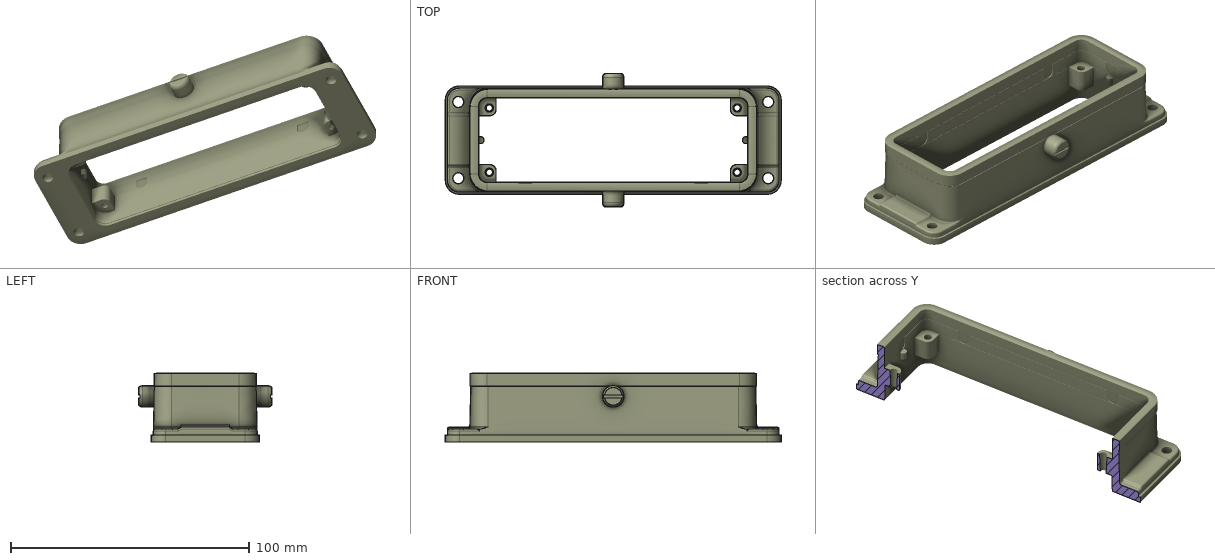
import cadquery as cq
import math

PLATE_LENGTH = 141.0
PLATE_WIDTH = 45.5
PLATE_THICKNESS = 3.0
PLATE_CORNER_RADIUS = 6.0

FLANGE_INSET = 0.9
EAR_HEIGHT = 5.5
PAD_HEIGHT = 6.3
PAD_HALF_WIDTH = 10.2
FLANGE_FILLET = 0.8
MOUNT_HOLE_DIAMETER = 4.5
MOUNT_HOLE_X = 65.0
MOUNT_HOLE_Y = 16.0

DRAFT_ANGLE = 1.4
FRAME_LENGTH = 120.6
FRAME_WIDTH = PLATE_WIDTH - 2 * FLANGE_INSET
FRAME_CORNER_RADIUS = 7.7

RIM_LENGTH = 120.2
RIM_WIDTH = 42.8
RIM_CORNER_RADIUS = 7.2
RIM_THICKNESS = 3.6
RIM_BOTTOM = 23.3
RIM_CHAMFER = 0.35
RIM_EDGE_HEIGHT = 28.75
RIM_CROWN_HEIGHT = 28.98

OPENING_LENGTH = RIM_LENGTH - 2 * RIM_THICKNESS
OPENING_WIDTH = RIM_WIDTH - 2 * RIM_THICKNESS
OPENING_CORNER_RADIUS = RIM_CORNER_RADIUS - RIM_THICKNESS
UPPER_STEP = 0.1
WALL_STEP = 0.2
LOWER_CORNER_RADIUS = 5.0
LEDGE_HEIGHT = 17.6
BOTTOM_RELIEF_HEIGHT = 1.3

RECESS_WIDTH = 5.2
RECESS_DEPTH = 0.2
RECESS_BOTTOM = LEDGE_HEIGHT
RECESS_X = 37.0

BOSS_X = 52.0
BOSS_Y = 13.5
BOSS_REACH_X = 2.9
BOSS_REACH_Y = 3.35
BOSS_CORNER_RADIUS = 2.85
BOSS_BOTTOM = 8.4
BOSS_TOP = LEDGE_HEIGHT
SCREW_HOLE_TOP_DIAMETER = 3.5
SCREW_HOLE_BOTTOM_DIAMETER = 2.6

KEY_X = 55.7
KEY_RADIUS = 1.5
KEY_BOTTOM = 14.2
KEY_TOP = LEDGE_HEIGHT

PEG_SPAN = 55.92
PEG_RADIUS = 4.5
PEG_HEIGHT = 19.2
PEG_ROUND_LENGTH = 1.7
PEG_ROUND_INSET = 0.8
PEG_ROUND_RADIUS = (PEG_ROUND_LENGTH**2 + PEG_ROUND_INSET**2) / (2 * PEG_ROUND_INSET)
PEG_SLOT_WIDTH = 1.2
PEG_SLOT_DEPTH = 0.5

SIGNS = (-1, 1)


def rounded_block(length, width, radius, bottom, top, draft=0.0):
    """Upright block with rounded corners; draft leans its sides inwards."""
    outline = cq.Sketch().rect(length, width).vertices().fillet(radius)
    return cq.Workplane("XY").workplane(offset=bottom).placeSketch(outline).extrude(top - bottom, taper=draft)


def rounded_path(length, width, radius, height):
    """Closed rounded-rectangle path that starts at the middle of its +X side."""
    x, y = length / 2, width / 2
    corner = radius * (1 - math.sqrt(0.5))
    return (
        cq.Workplane("XY", origin=(0, 0, height))
        .moveTo(x, 0)
        .lineTo(x, y - radius)
        .threePointArc((x - corner, y - corner), (x - radius, y))
        .lineTo(radius - x, y)
        .threePointArc((corner - x, y - corner), (-x, y - radius))
        .lineTo(-x, radius - y)
        .threePointArc((corner - x, corner - y), (radius - x, -y))
        .lineTo(x - radius, -y)
        .threePointArc((x - corner, corner - y), (x, radius - y))
        .close()
    )


def make_plate():
    return rounded_block(PLATE_LENGTH, PLATE_WIDTH, PLATE_CORNER_RADIUS, 0, PLATE_THICKNESS)


def flange_envelope(top):
    return rounded_block(
        PLATE_LENGTH - 2 * FLANGE_INSET,
        FRAME_WIDTH,
        PLATE_CORNER_RADIUS - FLANGE_INSET,
        PLATE_THICKNESS,
        top,
        DRAFT_ANGLE,
    )


def make_flange():
    """Ears and pad, joined by an S-shaped step and rounded along the outer edge."""
    step = PAD_HEIGHT - EAR_HEIGHT
    mid_height = (PAD_HEIGHT + EAR_HEIGHT) / 2
    half_run = math.sqrt(FLANGE_FILLET**2 - (FLANGE_FILLET - step / 2) ** 2)
    half_turn = math.acos(1 - step / (2 * FLANGE_FILLET)) / 2
    arc_run = FLANGE_FILLET * math.sin(half_turn)
    arc_drop = FLANGE_FILLET * (1 - math.cos(half_turn))
    foot = PAD_HALF_WIDTH + 2 * half_run
    middle = PAD_HALF_WIDTH + half_run
    profile = (
        cq.Workplane("YZ", origin=(-PLATE_LENGTH / 2, 0, 0))
        .moveTo(-PLATE_WIDTH, 0)
        .lineTo(-PLATE_WIDTH, EAR_HEIGHT)
        .lineTo(-foot, EAR_HEIGHT)
        .threePointArc((-foot + arc_run, EAR_HEIGHT + arc_drop), (-middle, mid_height))
        .threePointArc((-PAD_HALF_WIDTH - arc_run, PAD_HEIGHT - arc_drop), (-PAD_HALF_WIDTH, PAD_HEIGHT))
        .lineTo(PAD_HALF_WIDTH, PAD_HEIGHT)
        .threePointArc((PAD_HALF_WIDTH + arc_run, PAD_HEIGHT - arc_drop), (middle, mid_height))
        .threePointArc((foot - arc_run, EAR_HEIGHT + arc_drop), (foot, EAR_HEIGHT))
        .lineTo(PLATE_WIDTH, EAR_HEIGHT)
        .lineTo(PLATE_WIDTH, 0)
        .close()
        .extrude(PLATE_LENGTH)
    )
    flange = flange_envelope(PAD_HEIGHT + 1).intersect(profile)
    return flange.faces("<X or >X").edges(">Z").fillet(FLANGE_FILLET)


def make_frame():
    return rounded_block(
        FRAME_LENGTH, FRAME_WIDTH, FRAME_CORNER_RADIUS, PLATE_THICKNESS, RIM_BOTTOM, DRAFT_ANGLE
    )


def make_root_fillet(height):
    """Concave fillet between the frame wall and a flange surface at this height."""
    lean = (height - PLATE_THICKNESS) * math.tan(math.radians(DRAFT_ANGLE))
    wall = FRAME_LENGTH / 2 - lean
    buried = FLANGE_FILLET
    bend = FLANGE_FILLET * (1 - math.sqrt(0.5))
    path = rounded_path(2 * wall, FRAME_WIDTH - 2 * lean, FRAME_CORNER_RADIUS - lean, height)
    return (
        cq.Workplane("XZ")
        .moveTo(wall - buried, height - buried)
        .lineTo(wall + FLANGE_FILLET, height - buried)
        .lineTo(wall + FLANGE_FILLET, height)
        .threePointArc((wall + bend, height + bend), (wall, height + FLANGE_FILLET))
        .lineTo(wall - buried, height + FLANGE_FILLET)
        .close()
        .sweep(path)
    )


def make_root_fillets():
    pad_zone = cq.Workplane("XY").box(PLATE_LENGTH, 2 * PAD_HALF_WIDTH, 2 * RIM_BOTTOM)
    ear_fillet = make_root_fillet(EAR_HEIGHT)
    pad_fillet = make_root_fillet(PAD_HEIGHT).intersect(pad_zone)
    return ear_fillet.union(pad_fillet).intersect(flange_envelope(RIM_BOTTOM))


def make_rim():
    outer = RIM_LENGTH / 2
    path = rounded_path(RIM_LENGTH, RIM_WIDTH, RIM_CORNER_RADIUS, RIM_BOTTOM)
    return (
        cq.Workplane("XZ")
        .moveTo(outer - RIM_CHAMFER, RIM_BOTTOM)
        .lineTo(outer, RIM_BOTTOM + RIM_CHAMFER)
        .lineTo(outer, RIM_EDGE_HEIGHT)
        .threePointArc(
            (outer - RIM_THICKNESS / 2, RIM_CROWN_HEIGHT), (outer - RIM_THICKNESS, RIM_EDGE_HEIGHT)
        )
        .lineTo(outer - RIM_THICKNESS, RIM_BOTTOM)
        .close()
        .sweep(path)
    )


def opening(step, radius, bottom, top):
    """Stretch of the opening, set in from the rim's inner face by the step."""
    return rounded_block(OPENING_LENGTH - 2 * step, OPENING_WIDTH - 2 * step, radius, bottom, top)


def make_opening():
    relief = opening(0, LOWER_CORNER_RADIUS, 0, BOTTOM_RELIEF_HEIGHT)
    lower = opening(WALL_STEP, LOWER_CORNER_RADIUS, 0, LEDGE_HEIGHT)
    upper = opening(UPPER_STEP, OPENING_CORNER_RADIUS, LEDGE_HEIGHT, RIM_BOTTOM)
    return relief.union(lower).union(upper)


def recess_pair(plane, distance, position):
    """U-shaped recesses facing each other across the opening."""
    radius = RECESS_WIDTH / 2
    reach = distance + RECESS_DEPTH
    return (
        cq.Workplane(plane)
        .moveTo(position - radius, RIM_BOTTOM)
        .lineTo(position - radius, RECESS_BOTTOM + radius)
        .threePointArc((position, RECESS_BOTTOM), (position + radius, RECESS_BOTTOM + radius))
        .lineTo(position + radius, RIM_BOTTOM)
        .close()
        .extrude(reach, both=True)
    )


def make_recesses():
    recesses = recess_pair("YZ", OPENING_LENGTH / 2, 0)
    for side in SIGNS:
        recesses = recesses.union(recess_pair("XZ", OPENING_WIDTH / 2, side * RECESS_X))
    return recesses


def make_boss(side_x, side_y):
    """Corner boss with one rounded corner around its tapered screw hole."""
    inner_x = BOSS_X - BOSS_REACH_X
    inner_y = BOSS_Y - BOSS_REACH_Y
    outer_x = OPENING_LENGTH / 2 + WALL_STEP
    outer_y = OPENING_WIDTH / 2 + WALL_STEP
    height = BOSS_TOP - BOSS_BOTTOM
    boss = (
        cq.Workplane("XY", origin=(0, 0, BOSS_BOTTOM))
        .center(side_x * (inner_x + outer_x) / 2, side_y * (inner_y + outer_y) / 2)
        .rect(outer_x - inner_x, outer_y - inner_y)
        .extrude(height)
        .edges("|Z")
        .edges(cq.NearestToPointSelector((side_x * inner_x, side_y * inner_y, BOSS_BOTTOM + height / 2)))
        .fillet(BOSS_CORNER_RADIUS)
    )
    screw_hole = (
        cq.Workplane("XY", origin=(side_x * BOSS_X, side_y * BOSS_Y, BOSS_BOTTOM))
        .circle(SCREW_HOLE_BOTTOM_DIAMETER / 2)
        .workplane(offset=height)
        .circle(SCREW_HOLE_TOP_DIAMETER / 2)
        .loft()
    )
    return boss.cut(screw_hole)


def make_key(side):
    return (
        cq.Workplane("XY", origin=(side * KEY_X, 0, KEY_BOTTOM))
        .circle(KEY_RADIUS)
        .extrude(KEY_TOP - KEY_BOTTOM)
    )


def make_peg(side):
    """Round peg with a rounded nose and a slot across its end."""
    root = OPENING_WIDTH / 2 + WALL_STEP + RECESS_DEPTH
    tip = PEG_SPAN / 2
    round_start = tip - PEG_ROUND_LENGTH
    arc_center = PEG_RADIUS - PEG_ROUND_RADIUS
    half_turn = math.asin(PEG_ROUND_LENGTH / PEG_ROUND_RADIUS) / 2
    nose_radius = PEG_RADIUS - PEG_ROUND_INSET
    arc_middle = (
        -arc_center - PEG_ROUND_RADIUS * math.cos(half_turn),
        round_start + PEG_ROUND_RADIUS * math.sin(half_turn),
    )
    peg = (
        cq.Workplane("XY")
        .moveTo(0, root)
        .lineTo(-PEG_RADIUS, root)
        .lineTo(-PEG_RADIUS, round_start)
        .threePointArc(arc_middle, (-nose_radius, tip))
        .lineTo(0, tip)
        .close()
        .revolve(360, (0, 0, 0), (0, 1, 0))
    )
    slot = cq.Workplane("XY", origin=(0, tip, 0)).box(2 * PEG_RADIUS, 2 * PEG_SLOT_DEPTH, PEG_SLOT_WIDTH)
    peg = peg.cut(slot)
    if side < 0:
        peg = peg.mirror("XZ")
    return peg.translate((0, 0, PEG_HEIGHT))


def make_mount_holes():
    return (
        cq.Workplane("XY")
        .rect(2 * MOUNT_HOLE_X, 2 * MOUNT_HOLE_Y, forConstruction=True)
        .vertices()
        .circle(MOUNT_HOLE_DIAMETER / 2)
        .extrude(PAD_HEIGHT)
    )


def make_part():
    part = make_plate().union(make_flange()).union(make_frame()).union(make_root_fillets())
    part = part.cut(make_opening()).union(make_rim()).cut(make_recesses()).cut(make_mount_holes())
    for side in SIGNS:
        part = part.union(make_key(side)).union(make_peg(side))
        for side_y in SIGNS:
            part = part.union(make_boss(side, side_y))
    return part


result = make_part()